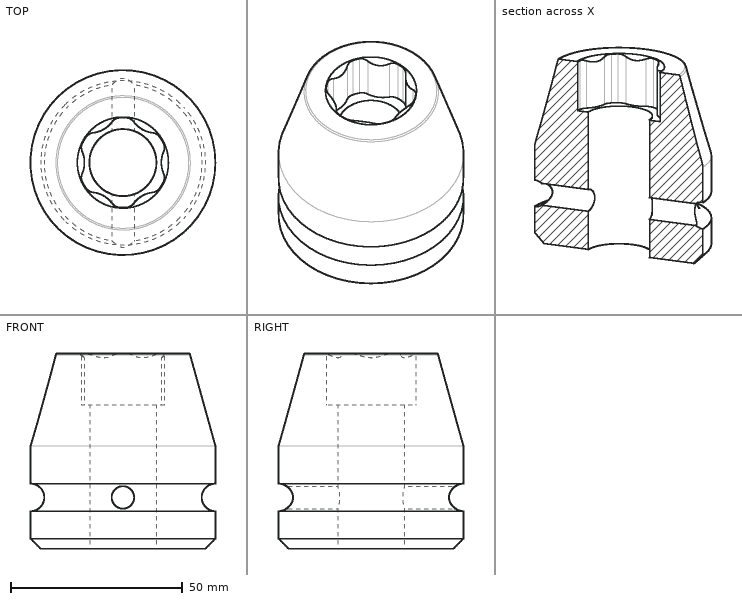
import cadquery as cq
import math

body_radius = 27.0
body_height = 57.0
base_chamfer = 3.0
taper_start = 30.0
nose_radius = 19.5
nose_fillet = 0.5

groove_height = 15.0
groove_radius = 4.0

pin_hole_diameter = 6.5

bore_diameter = 19.5

lobe_count = 6
socket_depth = 15.0
lobe_tip_radius = 13.1
ridge_tip_radius = 11.2
ridge_radius = 8.0
lobe_fillet = 3.0

lead_in_radius = 13.3
lead_in_slope = 30.0


def polar(radius, angle):
    """Point at a radius and an angle in radians."""
    return (radius * math.cos(angle), radius * math.sin(angle))


def make_body():
    """Turned blank: chamfered base, grooved cylinder and tapered nose."""
    profile = (
        cq.Workplane("XZ")
        .lineTo(body_radius - base_chamfer, 0)
        .lineTo(body_radius, base_chamfer)
        .lineTo(body_radius, groove_height - groove_radius)
        .threePointArc(
            (body_radius - groove_radius, groove_height),
            (body_radius, groove_height + groove_radius),
        )
        .lineTo(body_radius, taper_start)
        .lineTo(nose_radius, body_height)
        .lineTo(0, body_height)
        .close()
    )
    body = profile.revolve(360, (0, 0, 0), (0, 1, 0))
    return body.faces(">Z").edges().fillet(nose_fillet)


def make_socket():
    """Six-lobe prism: ridges on the X axis and every 60 degrees, blended into the lobe tips."""
    pitch = 2 * math.pi / lobe_count
    ridge_centre = ridge_tip_radius + ridge_radius
    fillet_centre = lobe_tip_radius - lobe_fillet
    centre_distance = ridge_radius + lobe_fillet

    fillet_angle = math.acos(
        (ridge_centre**2 + fillet_centre**2 - centre_distance**2) / (2 * ridge_centre * fillet_centre)
    )

    share = ridge_radius / centre_distance
    fillet_x, fillet_y = polar(fillet_centre, fillet_angle)
    blend_x = ridge_centre + share * (fillet_x - ridge_centre)
    blend_y = share * fillet_y
    blend_radius = math.hypot(blend_x, blend_y)
    blend_angle = math.atan2(blend_y, blend_x)

    end_direction = math.atan2(blend_y - fillet_y, blend_x - fillet_x)
    middle_direction = (end_direction + fillet_angle) / 2
    middle_x = fillet_x + lobe_fillet * math.cos(middle_direction)
    middle_y = fillet_y + lobe_fillet * math.sin(middle_direction)
    middle_radius = math.hypot(middle_x, middle_y)
    middle_angle = math.atan2(middle_y, middle_x)

    outline = cq.Workplane("XY", origin=(0, 0, body_height - socket_depth))
    outline = outline.moveTo(*polar(blend_radius, -blend_angle))
    for index in range(lobe_count):
        ridge = index * pitch
        next_ridge = ridge + pitch
        outline = (
            outline.threePointArc(
                polar(ridge_tip_radius, ridge),
                polar(blend_radius, ridge + blend_angle),
            )
            .threePointArc(
                polar(middle_radius, ridge + middle_angle),
                polar(lobe_tip_radius, ridge + fillet_angle),
            )
            .threePointArc(
                polar(lobe_tip_radius, ridge + pitch / 2),
                polar(lobe_tip_radius, next_ridge - fillet_angle),
            )
            .threePointArc(
                polar(middle_radius, next_ridge - middle_angle),
                polar(blend_radius, next_ridge - blend_angle),
            )
        )
    return outline.close().extrude(socket_depth)


def make_lead_in():
    """Cone that opens the socket mouth, with its apex on the axis."""
    cone_depth = lead_in_radius * math.tan(math.radians(lead_in_slope))
    return (
        cq.Workplane("XZ")
        .moveTo(0, body_height - cone_depth)
        .lineTo(lead_in_radius, body_height)
        .lineTo(0, body_height)
        .close()
        .revolve(360, (0, 0, 0), (0, 1, 0))
    )


def make_bore():
    """Round bore through the full height."""
    return cq.Workplane("XY").circle(bore_diameter / 2).extrude(body_height)


def make_pin_hole():
    """Cross hole along Y through both walls at groove height."""
    return (
        cq.Workplane("XZ", origin=(0, 0, groove_height))
        .circle(pin_hole_diameter / 2)
        .extrude(body_radius, both=True)
    )


result = make_body().cut(make_bore()).cut(make_socket()).cut(make_lead_in()).cut(make_pin_hole())